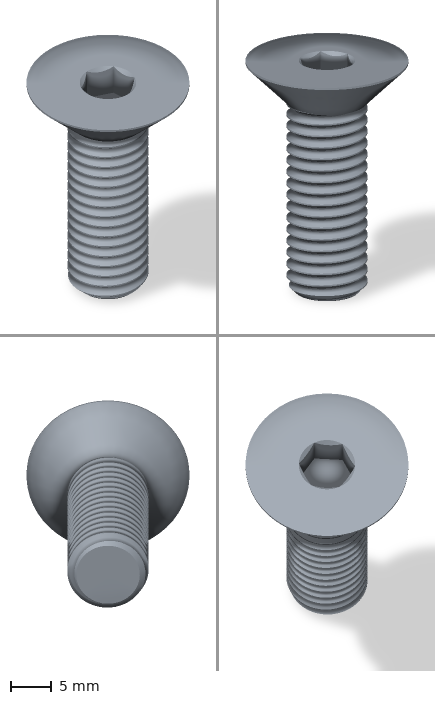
import cadquery as cq
import math

total_length = 30.0

head_diameter = 20.0
rim_height = 0.27
head_height = 5.43
head_bottom = total_length - head_height
neck_radius = head_diameter / 2 - (head_height - rim_height)

socket_flats = 6.0
socket_depth = 4.0
socket_corner_radius = socket_flats / math.sqrt(3)

thread_radius = 10.0 / 2
root_radius = 8.05 / 2
pitch = 1.5
crest_width = pitch / 8
flank_slope = math.tan(math.radians(30))
first_groove_height = 0.57
tip_radius = 3.9
cutter_overlap = 0.1
turns_per_cut = 2
seam_angle = 77
shank_top = head_bottom + 0.3


def make_head():
    """Thin cylindrical rim above a countersunk cone."""
    head_radius = head_diameter / 2
    return (
        cq.Workplane("XZ")
        .moveTo(0, head_bottom)
        .lineTo(neck_radius, head_bottom)
        .lineTo(head_radius, total_length - rim_height)
        .lineTo(head_radius, total_length)
        .lineTo(0, total_length)
        .close()
        .revolve(360, (0, 0, 0), (0, 1, 0))
    )


def make_groove_cutter():
    """Short helical trapezoid, starting at height zero on the +X side."""
    outer_radius = thread_radius + cutter_overlap
    outer_half = (pitch - crest_width) / 2 + cutter_overlap * flank_slope
    root_half = outer_half - (outer_radius - root_radius) * flank_slope
    corners = [
        (root_radius, -root_half),
        (root_radius, root_half),
        (outer_radius, outer_half),
        (outer_radius, -outer_half),
    ]
    edges = [
        cq.Wire.makeHelix(pitch, turns_per_cut * pitch, radius, center=cq.Vector(0, 0, height)).Edges()[0]
        for radius, height in corners
    ]
    next_edges = edges[1:] + edges[:1]
    faces = [cq.Face.makeRuledSurface(edge, other) for edge, other in zip(edges, next_edges)]
    for end in (0, 1):
        end_points = [edge.positionAt(end) for edge in edges]
        faces.append(cq.Face.makeFromWires(cq.Wire.makePolygon(end_points, close=True)))
    return cq.Workplane(cq.Solid.makeSolid(cq.Shell.makeShell(faces)).fix())


def make_shank():
    """Threaded rod with a 45 degree chamfer at the tip."""
    rod = cq.Workplane("XY").circle(thread_radius).extrude(shank_top)
    rod = rod.faces("<Z").chamfer(thread_radius - tip_radius)
    rod = rod.rotate((0, 0, 0), (0, 0, 1), seam_angle)
    cutter = make_groove_cutter()
    height = first_groove_height - 2 * pitch
    while height < shank_top + pitch:
        rod = rod.cut(cutter.translate((0, 0, height)))
        height += turns_per_cut * pitch
    return rod


def make_socket():
    """Hexagonal hole with a 45 degree conical lead-in through its corners."""
    hexagon = (
        cq.Workplane("XY")
        .workplane(offset=total_length - socket_depth)
        .polygon(6, 2 * socket_corner_radius)
        .extrude(socket_depth)
        .rotate((0, 0, 0), (0, 0, 1), 90)
    )
    lead_in = cq.Workplane(
        cq.Solid.makeCone(
            0, socket_corner_radius, socket_corner_radius,
            pnt=cq.Vector(0, 0, total_length - socket_corner_radius),
        )
    )
    return hexagon.union(lead_in)


result = make_shank().union(make_head()).cut(make_socket())